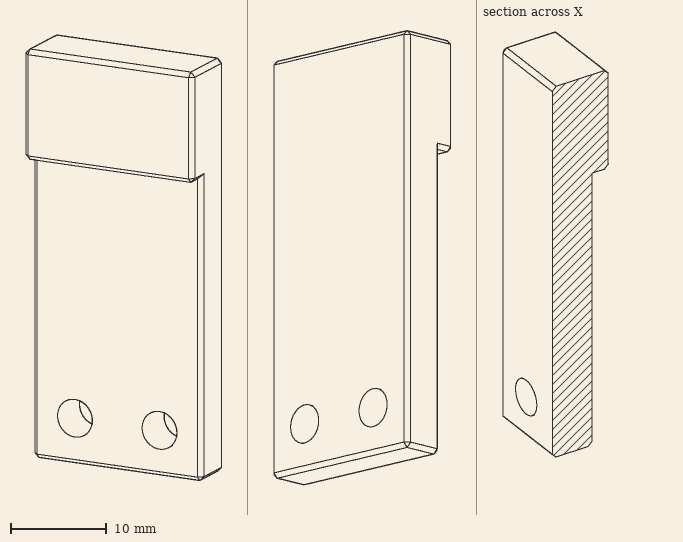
import cadquery as cq

width = 20.0
depth = 7.0
height = 45.0

plate_thickness = 5.0
head_height = 12.0
edge_chamfer = 0.5

hole_diameter = 4.1
hole_spacing = width / 2
hole_height = 5.0

back_y = depth / 2
front_y = -depth / 2
plate_front_y = back_y - plate_thickness
head_bottom_z = height - head_height


def make_body():
    """L-shaped side profile extruded across the width, centred on X."""
    profile = [
        (back_y, 0),
        (back_y, height),
        (front_y, height),
        (front_y, head_bottom_z),
        (plate_front_y, head_bottom_z),
        (plate_front_y, 0),
    ]
    return cq.Workplane("YZ").polyline(profile).close().extrude(width / 2, both=True)


def chamfer_outer_edges(body):
    """Break every edge except the inside corner under the head."""
    tolerance = 0.005
    inside_corner = cq.selectors.BoxSelector(
        (-width, plate_front_y - tolerance, head_bottom_z - tolerance),
        (width, plate_front_y + tolerance, head_bottom_z + tolerance),
    )
    outer_edges = -inside_corner
    return body.edges(outer_edges).chamfer(edge_chamfer)


def make_holes():
    """Two through holes running front to back."""
    hole_centers = [(-hole_spacing / 2, hole_height), (hole_spacing / 2, hole_height)]
    return (
        cq.Workplane("XZ", origin=(0, back_y, 0))
        .pushPoints(hole_centers)
        .circle(hole_diameter / 2)
        .extrude(depth)
    )


result = chamfer_outer_edges(make_body()).cut(make_holes())